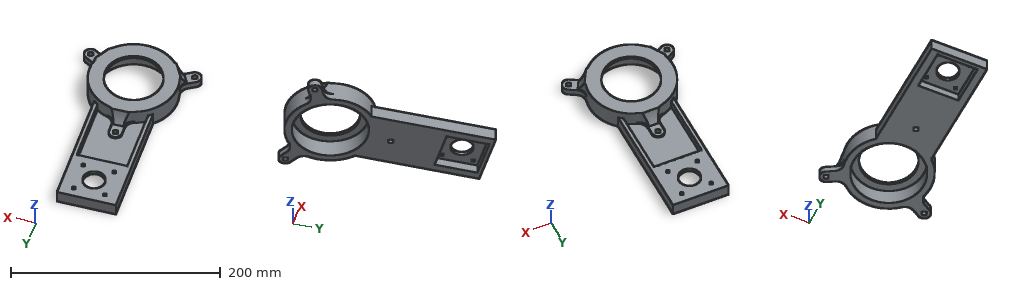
import cadquery as cq
import math

ring_diameter = 88.0
ring_radius = ring_diameter / 2
ring_height = 21.0
lip_diameter = 57.0
lip_thickness = 3.0
bore_diameter = 73.5

overall_length = 199.8
arm_end = overall_length - ring_radius
arm_width = 58.8
arm_height = 13.2

recess_width = 50.4
recess_end = 104.1
recess_floor = 5.4
ramp_length = 5.2
ramp_top = 9.4

motor_y = 130.5
shaft_hole_diameter = 22.0
motor_hole_diameter = 3.2
motor_hole_spacing = 31.0
motor_pocket_size = 42.4
motor_plate_thickness = 4.0

ear_angles = (90, 210, 330)
ear_reach = 60.0
ear_width = 13.0
ear_height = 7.2
ear_hole_diameter = 5.0
neck_fillet = 10.0
root_overlap = 4.0
rib_width = 10.0
rib_foot = 51.0
rib_curve_radius = 34.0


def cylinder(diameter, height, bottom=0.0):
    return cq.Workplane("XY").workplane(offset=bottom).circle(diameter / 2).extrude(height)


def flared_neck(width, tip, height):
    """Bar along +X whose root flares into the ring with concave arcs."""
    half = width / 2
    arc_y = half + neck_fillet
    centre_distance = ring_radius + neck_fillet
    arc_x = math.sqrt(centre_distance**2 - arc_y**2)
    root_x = arc_x * ring_radius / centre_distance
    root_y = arc_y * ring_radius / centre_distance
    middle_angle = (math.atan2(-arc_y, -arc_x) - math.pi / 2) / 2
    middle_x = arc_x + neck_fillet * math.cos(middle_angle)
    middle_y = arc_y + neck_fillet * math.sin(middle_angle)
    inner_x = root_x - root_overlap
    return (
        cq.Workplane("XY")
        .moveTo(inner_x, root_y)
        .lineTo(root_x, root_y)
        .threePointArc((middle_x, middle_y), (arc_x, half))
        .lineTo(tip, half)
        .lineTo(tip, -half)
        .lineTo(arc_x, -half)
        .threePointArc((middle_x, -middle_y), (root_x, -root_y))
        .lineTo(inner_x, -root_y)
        .close()
        .extrude(height)
    )


def make_rib():
    """Flared rib whose outer face is a concave curve from the ring top to the ear."""
    inner_x = ring_radius - root_overlap
    profile = (
        cq.Workplane("XZ")
        .moveTo(inner_x, 0)
        .lineTo(rib_foot, 0)
        .lineTo(rib_foot, ear_height)
        .radiusArc((ring_radius, ring_height), rib_curve_radius)
        .lineTo(inner_x, ring_height)
        .close()
        .extrude(ring_radius, both=True)
    )
    return flared_neck(rib_width, ear_reach, ring_height).intersect(profile)


def make_ear():
    tip = cylinder(ear_width, ear_height).translate((ear_reach, 0, 0))
    return flared_neck(ear_width, ear_reach, ear_height).union(tip).union(make_rib())


def make_arm():
    arm = cq.Workplane("XY").box(arm_width, arm_end, arm_height, centered=(True, False, False))
    recess = (
        cq.Workplane("YZ")
        .moveTo(0, arm_height)
        .lineTo(recess_end, arm_height)
        .lineTo(recess_end, ramp_top)
        .lineTo(recess_end - ramp_length, recess_floor)
        .lineTo(0, recess_floor)
        .close()
        .extrude(recess_width / 2, both=True)
    )
    motor_holes = (
        cq.Workplane("XY")
        .center(0, motor_y)
        .rect(motor_hole_spacing, motor_hole_spacing, forConstruction=True)
        .vertices()
        .circle(motor_hole_diameter / 2)
        .extrude(arm_height)
    )
    shaft_hole = cylinder(shaft_hole_diameter, arm_height).translate((0, motor_y, 0))
    motor_pocket = (
        cq.Workplane("XY")
        .center(0, motor_y)
        .rect(motor_pocket_size, motor_pocket_size)
        .extrude(arm_height - motor_plate_thickness)
    )
    return arm.cut(recess).cut(motor_pocket).cut(motor_holes).cut(shaft_hole)


def make_bore():
    """Stepped opening: wide from below, with a narrower lip at the top."""
    lip_bottom = ring_height - lip_thickness
    bore = cylinder(bore_diameter, lip_bottom)
    lip = cylinder(lip_diameter, lip_thickness, lip_bottom)
    return bore.union(lip)


result = make_arm().union(cylinder(ring_diameter, ring_height))
ear = make_ear()
ear_hole = cylinder(ear_hole_diameter, ring_height).translate((ear_reach, 0, 0))
for angle in ear_angles:
    result = result.union(ear.rotate((0, 0, 0), (0, 0, 1), angle))
for angle in ear_angles:
    result = result.cut(ear_hole.rotate((0, 0, 0), (0, 0, 1), angle))
result = result.cut(make_bore())